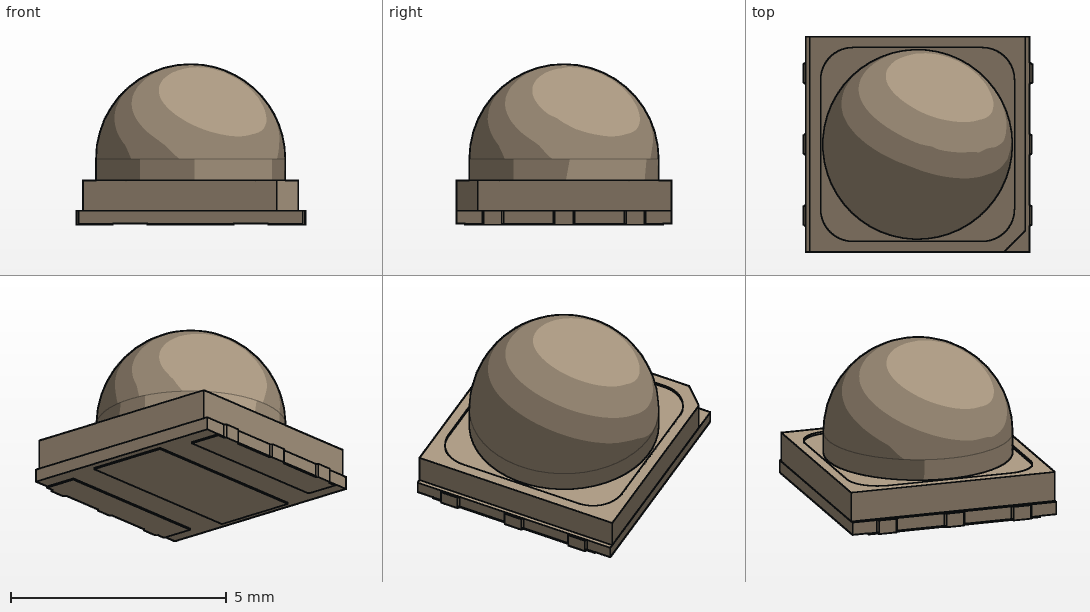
import cadquery as cq

pad_thickness = 0.03
substrate_thickness = 0.3
housing_height = 0.7
lens_collar_height = 0.5
recess_depth = 0.05

substrate_bottom = pad_thickness
substrate_top = substrate_bottom + substrate_thickness
housing_top = substrate_top + housing_height
recess_floor = housing_top - recess_depth
dome_center_z = housing_top + lens_collar_height

housing_width = 5.0
substrate_length = 5.2
corner_cut = 0.5
recess_width = 4.5
recess_corner_radius = 0.75
lens_radius = 4.4 / 2

center_pad_length = 2.0
center_pad_width = 4.6
side_pad_inner_x = 1.8
side_pad_width = 4.2

tab_pitch = 1.65
tab_root_width = 0.5
tab_tip_width = 0.42
tab_reach = 0.05
long_tab_reach = 0.07


def block(length, width, bottom, top):
    """A box centred on the Z axis between two heights."""
    base = cq.Workplane("XY").workplane(offset=bottom)
    return base.rect(length, width).extrude(top - bottom)


def make_substrate():
    """The base plate, with the central thermal pad on its underside."""
    plate = block(substrate_length, housing_width, substrate_bottom, substrate_top)
    thermal_pad = block(center_pad_length, center_pad_width, 0, substrate_bottom)
    return plate.union(thermal_pad)


def make_housing():
    """The square frame, with one cut corner and a shallow recess under the lens."""
    body = block(housing_width, housing_width, substrate_top, housing_top)
    body = body.edges("|Z and >X and <Y").chamfer(corner_cut)
    recess = block(recess_width, recess_width, recess_floor, housing_top)
    recess = recess.edges("|Z").fillet(recess_corner_radius)
    return body.cut(recess)


def make_lens():
    """A round collar level with the housing top at its base, topped by a hemisphere."""
    profile = (
        cq.Workplane("XZ")
        .moveTo(0, housing_top)
        .lineTo(lens_radius, housing_top)
        .lineTo(lens_radius, dome_center_z)
        .radiusArc((0, dome_center_z + lens_radius), -lens_radius)
        .close()
    )
    return profile.revolve(360, (0, 0, 0), (0, 1, 0))


def make_tab(end, center_y, reach):
    """A contact tab with slanted sides on the end face; end is -1 or +1 along X."""
    root_x = end * substrate_length / 2
    tip_x = root_x + end * reach
    outline = [
        (root_x, center_y - tab_root_width / 2),
        (tip_x, center_y - tab_tip_width / 2),
        (tip_x, center_y + tab_tip_width / 2),
        (root_x, center_y + tab_root_width / 2),
    ]
    return cq.Workplane("XY").polyline(outline).close().extrude(substrate_top)


def make_terminal(end, rear_tab_reach):
    """A side pad under the substrate, joined to the three tabs on its end face."""
    pad_length = substrate_length / 2 - side_pad_inner_x
    pad_center_x = end * (side_pad_inner_x + pad_length / 2)
    terminal = block(pad_length, side_pad_width, 0, pad_thickness).translate((pad_center_x, 0, 0))
    for row in (-1, 0, 1):
        reach = rear_tab_reach if row == 1 else tab_reach
        terminal = terminal.union(make_tab(end, row * tab_pitch, reach))
    return terminal


substrate = make_substrate()
housing = make_housing()
lens = make_lens()
terminals = [
    make_terminal(end, rear_tab_reach)
    for end, rear_tab_reach in ((-1, tab_reach), (1, long_tab_reach))
]

result = cq.Compound.makeCompound(
    [
        substrate.solids().val(),
        housing.solids().val(),
        lens.val(),
        *[terminal.solids().val() for terminal in terminals],
    ]
)